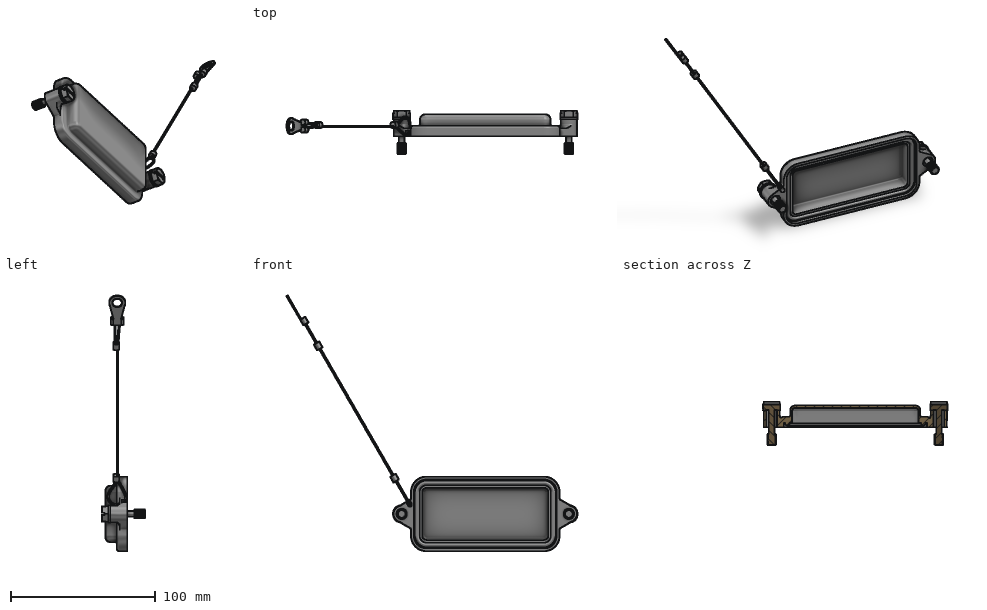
import cadquery as cq
import math


COVER_LENGTH = 102.8
COVER_WIDTH = 51.7
CORNER_RADIUS = 10.9
PLATE_THICKNESS = 7.5
PLATE_EDGE_RADIUS = 1.8
DOME_INSET = 6.2
DOME_TOP = 15.3
DOME_EDGE_RADIUS = 3.8
DOME_FOOT_RADIUS = 0.6

EDGE_MARGIN = 0.2

RECESS_INSET = 2.0
RECESS_DEPTH = 2.8
BEAD_INSET = 4.5
BEAD_RADIUS = 1.6
BEAD_ROOT = 0.6
CAVITY_INSET = 7.8
CAVITY_DEPTH = 13.3
CAVITY_FILLET = 1.91

SCREW_OFFSET = 57.7
BOSS_RADIUS = 5.6
BOSS_TOP = 11.9
BOSS_FOOT_RADIUS = 3.0
EAR_THICKNESS = 5.5
EAR_SLOPE = 30
EAR_CORNER_RADIUS = 1.2
EAR_OVERLAP = 1.0
SCREW_HOLE_DIAMETER = 7.2

HEAD_TOP = 17.7
FLANGE_HEIGHT = 1.5
FLANGE_DIAMETER = 12.0
HEX_ACROSS_FLATS = 10.5
HEX_ACROSS_CORNERS = HEX_ACROSS_FLATS / math.cos(math.radians(30))
HEX_CHAMFER_SLOPE = 30
DRIVER_SLOT_WIDTH = 1.5
DRIVER_SLOT_DEPTH = 1.8
SHANK_DIAMETER = 4.2
THREAD_START = -4.6
THREAD_LENGTH = 7.6
THREAD_TURNS = 8
THREAD_PITCH = THREAD_LENGTH / THREAD_TURNS
THREAD_DIAMETER = 6.2
THREAD_ROOT_DIAMETER = 5.2

CABLE_HOLE_X = -52.1
CABLE_HOLE_Z = 6.5
CABLE_HOLE_DIAMETER = 2.8
CABLE_SLOT_DEPTH = 3.8
LANYARD_ANGLE = 60
CABLE_RADIUS = 0.6
CABLE_Y = 6.8
STRAND_SPACING = 1.8
SLEEVE_DIAMETER = 4.5
SLEEVE_LENGTH = 4.6
LOWER_SLEEVE = 21.1
UPPER_SLEEVE = 126.5
CRIMP = 146.3
CRIMP_DIAMETER = 4
CRIMP_RISE = 0.3
CRIMP_STRAND_SPACING = 3.2
CRIMP_SPACING = 5.2
TERMINAL_Y = 7.0
EYE_POSITION = 161.7
EYE_RADIUS = 5.6
EYE_HOLE_DIAMETER = 6.6
TONGUE_WIDTH = 5.2
TERMINAL_THICKNESS = 1.0
TERMINAL_OFFSET = -1.8


def xz_plane(y):
    """Workplane at height y whose local axes are X and Z and whose extrusions run toward -Y."""
    return cq.Workplane("XZ", origin=(0, y, 0))


def rounded_block(inset, y_start, y_end):
    """Block that follows the cover outline, set in from it by `inset`."""
    block = xz_plane(y_start).rect(COVER_LENGTH - 2 * inset, COVER_WIDTH - 2 * inset)
    block = block.extrude(y_start - y_end)
    return block.edges("|Y").fillet(CORNER_RADIUS - inset)


def ear_block(thickness):
    """Outline of the +X ear: two sloped edges tangent to the boss circle."""
    slope = math.radians(EAR_SLOPE)
    inner_x = COVER_LENGTH / 2 - EAR_OVERLAP
    tangent_x = SCREW_OFFSET + BOSS_RADIUS * math.sin(slope)
    tangent_z = BOSS_RADIUS * math.cos(slope)
    inner_z = tangent_z + (tangent_x - inner_x) * math.tan(slope)
    outline = (
        xz_plane(0)
        .moveTo(inner_x, -inner_z)
        .lineTo(tangent_x, -tangent_z)
        .threePointArc((SCREW_OFFSET + BOSS_RADIUS, 0), (tangent_x, tangent_z))
        .lineTo(inner_x, inner_z)
        .close()
    )
    return outline.extrude(-thickness)


def boss_with_foot():
    """Boss on the +X ear, with a concave fillet at its foot that stays inside the ear outline."""
    boss = xz_plane(0).center(SCREW_OFFSET, 0).circle(BOSS_RADIUS).extrude(-BOSS_TOP)
    foot_top = EAR_THICKNESS + BOSS_FOOT_RADIUS
    foot_edge = BOSS_RADIUS + BOSS_FOOT_RADIUS
    diagonal = BOSS_FOOT_RADIUS * math.sin(math.radians(45))
    foot = (
        cq.Workplane("XY")
        .lineTo(foot_edge, 0)
        .lineTo(foot_edge, EAR_THICKNESS)
        .threePointArc((foot_edge - diagonal, foot_top - diagonal), (BOSS_RADIUS, foot_top))
        .lineTo(0, foot_top)
        .close()
        .revolve(360, (0, 0), (0, 1))
        .translate((SCREW_OFFSET, 0, 0))
    )
    return boss.union(foot.intersect(ear_block(foot_top)))


def sealing_bead():
    """Half-round bead on the recess floor, following the cover outline."""
    path = xz_plane(RECESS_DEPTH).rect(COVER_LENGTH - 2 * BEAD_INSET, COVER_WIDTH - 2 * BEAD_INSET)
    path = path.extrude(BEAD_RADIUS).edges("|Y").fillet(CORNER_RADIUS - BEAD_INSET)
    path = path.faces(">Y").wires().val()
    start = (0, RECESS_DEPTH, COVER_WIDTH / 2 - BEAD_INSET)
    ring = cq.Workplane("YZ", origin=start).circle(BEAD_RADIUS).sweep(cq.Workplane(path))
    return ring.intersect(rounded_block(RECESS_INSET, 0, RECESS_DEPTH + BEAD_ROOT))


def lanyard_plane():
    """Workplane along the lanyard: local X is the part's Y, local Y runs up the lanyard axis."""
    angle = math.radians(LANYARD_ANGLE)
    plane = cq.Plane(
        origin=(CABLE_HOLE_X, 0, CABLE_HOLE_Z),
        xDir=(0, 1, 0),
        normal=(math.sin(angle), 0, math.cos(angle)),
    )
    return cq.Workplane(plane)


def cable_opening():
    """Hole through the left ear, with a slot in the mating face that leads the cable to the ear edge."""
    hole = xz_plane(0).center(CABLE_HOLE_X, CABLE_HOLE_Z).circle(CABLE_HOLE_DIAMETER / 2)
    hole = hole.extrude(-(EAR_THICKNESS + EDGE_MARGIN))
    slot_length = LOWER_SLEEVE / 2
    slot = lanyard_plane().rect(CABLE_SLOT_DEPTH, slot_length, centered=(False, False))
    return hole.union(slot.extrude(CABLE_HOLE_DIAMETER / 2, both=True))


def domed_shell():
    """Plate and dome with rounded edges, hollowed from the mating face and fitted with the bead."""
    plate = rounded_block(0, 0, PLATE_THICKNESS).faces(">Y").edges().fillet(PLATE_EDGE_RADIUS)
    dome = rounded_block(DOME_INSET, 0, DOME_TOP).faces(">Y").edges().fillet(DOME_EDGE_RADIUS)
    dome_reach_x = COVER_LENGTH / 2 - DOME_INSET + EDGE_MARGIN
    dome_reach_z = COVER_WIDTH / 2 - DOME_INSET + EDGE_MARGIN
    dome_foot = cq.selectors.BoxSelector(
        (-dome_reach_x, PLATE_THICKNESS - EDGE_MARGIN, -dome_reach_z),
        (dome_reach_x, PLATE_THICKNESS + EDGE_MARGIN, dome_reach_z),
    )
    shell = plate.union(dome).edges(dome_foot).fillet(DOME_FOOT_RADIUS)
    cavity = rounded_block(CAVITY_INSET, 0, CAVITY_DEPTH).faces(">Y").edges().fillet(CAVITY_FILLET)
    recess = rounded_block(RECESS_INSET, 0, RECESS_DEPTH)
    return shell.cut(cavity).cut(recess).union(sealing_bead())


def on_both_ends(cover, feature):
    """Cover with a feature of the +X end added there and, mirrored, at the -X end."""
    return cover.union(feature).union(feature.mirror("YZ"))


def make_cover():
    cover = on_both_ends(domed_shell(), ear_block(EAR_THICKNESS))
    ear_corners = cq.selectors.BoxSelector(
        (-COVER_LENGTH / 2 - EDGE_MARGIN, 0, -COVER_WIDTH / 2 + CORNER_RADIUS),
        (COVER_LENGTH / 2 + EDGE_MARGIN, EAR_THICKNESS, COVER_WIDTH / 2 - CORNER_RADIUS),
    )
    cover = cover.edges("|Y").edges(ear_corners).fillet(EAR_CORNER_RADIUS)
    cover = on_both_ends(cover, boss_with_foot())
    screw_holes = xz_plane(0).pushPoints([(-SCREW_OFFSET, 0), (SCREW_OFFSET, 0)])
    screw_holes = screw_holes.circle(SCREW_HOLE_DIAMETER / 2).extrude(-BOSS_TOP)
    return cover.cut(screw_holes).cut(cable_opening())


def make_screw(side):
    """Hexagon head screw: head and flange on the boss, slim shank, threaded tip toward -Y."""
    flange_top = BOSS_TOP + FLANGE_HEIGHT
    thread_radius = THREAD_DIAMETER / 2
    root_radius = THREAD_ROOT_DIAMETER / 2
    profile = cq.Workplane("XY").moveTo(0, flange_top).lineTo(FLANGE_DIAMETER / 2, flange_top)
    profile = profile.lineTo(FLANGE_DIAMETER / 2, BOSS_TOP).lineTo(SHANK_DIAMETER / 2, BOSS_TOP)
    profile = profile.lineTo(SHANK_DIAMETER / 2, THREAD_START).lineTo(root_radius, THREAD_START)
    for turn in range(THREAD_TURNS):
        turn_top = THREAD_START - turn * THREAD_PITCH
        profile = profile.lineTo(thread_radius, turn_top - THREAD_PITCH / 2)
        profile = profile.lineTo(root_radius, turn_top - THREAD_PITCH)
    tip = THREAD_START - THREAD_LENGTH
    body = profile.lineTo(0, tip).close().revolve(360, (0, 0), (0, 1))

    head = xz_plane(flange_top).polygon(6, HEX_ACROSS_CORNERS).extrude(flange_top - HEAD_TOP)
    corner_reach = (HEX_ACROSS_CORNERS - HEX_ACROSS_FLATS) / 2
    corner_drop = corner_reach * math.tan(math.radians(HEX_CHAMFER_SLOPE))
    rounding = xz_plane(flange_top).circle(HEX_ACROSS_CORNERS / 2).extrude(flange_top - HEAD_TOP)
    rounding = rounding.faces(">Y").chamfer(corner_drop, corner_reach)
    slot = xz_plane(HEAD_TOP).rect(HEX_ACROSS_CORNERS, DRIVER_SLOT_WIDTH).extrude(DRIVER_SLOT_DEPTH)
    return body.union(head.intersect(rounding)).cut(slot).translate((side * SCREW_OFFSET, 0, 0))


def cable(points):
    """Round cable along a smooth curve; each point is (Y, distance along the lanyard)."""
    path = lanyard_plane().spline(points)
    start = path.val().startPoint()
    section = cq.Plane(origin=start, normal=path.val().tangentAt(0))
    return cq.Workplane(section).circle(CABLE_RADIUS).sweep(path)


def sleeve(y, position, diameter, rise=0):
    """Round sleeve centred at `position` along the lanyard, lifted off its axis by `rise`."""
    axis = lanyard_plane().plane
    base = axis.toWorldCoords((y, position - SLEEVE_LENGTH / 2, rise))
    plane = cq.Plane(origin=base, xDir=axis.xDir, normal=axis.yDir)
    return cq.Workplane(plane).circle(diameter / 2).extrude(SLEEVE_LENGTH)


def ring_terminal():
    """Flat eye whose tapered tongue ends under the crimp barrels."""
    tongue_end = CRIMP - SLEEVE_LENGTH / 2
    half_width = TONGUE_WIDTH / 2
    plane = lanyard_plane().workplane(offset=TERMINAL_OFFSET)
    eye = plane.center(TERMINAL_Y, EYE_POSITION).circle(EYE_RADIUS).extrude(TERMINAL_THICKNESS)
    tongue = plane.polyline([
        (TERMINAL_Y - half_width, tongue_end),
        (TERMINAL_Y + half_width, tongue_end),
        (TERMINAL_Y + half_width, CRIMP + SLEEVE_LENGTH / 2),
        (TERMINAL_Y + EYE_RADIUS, EYE_POSITION),
        (TERMINAL_Y - EYE_RADIUS, EYE_POSITION),
        (TERMINAL_Y - half_width, CRIMP + SLEEVE_LENGTH / 2),
    ]).close().extrude(TERMINAL_THICKNESS)
    hole = plane.center(TERMINAL_Y, EYE_POSITION).circle(EYE_HOLE_DIAMETER / 2)
    return eye.union(tongue).cut(hole.extrude(TERMINAL_THICKNESS))


def make_lanyard():
    """Cable looped through the left ear, its sleeves, and the crimped ring terminal."""
    second_y = CABLE_Y + STRAND_SPACING
    sleeve_y = CABLE_Y + STRAND_SPACING / 2
    loop = cable([
        (CABLE_Y, LOWER_SLEEVE),
        (3.5, 12.7),
        (1.5, 7.0),
        (1.8, 2.0),
        (5.5, 0.0),
        (10.3, 0.6),
        (12.7, 3.5),
        (12.9, 8.9),
        (9.3, 15.5),
        (second_y, LOWER_SLEEVE),
    ])
    lanyard = loop.union(cable([(CABLE_Y, LOWER_SLEEVE), (CABLE_Y, UPPER_SLEEVE)]))
    for position in (LOWER_SLEEVE, UPPER_SLEEVE):
        lanyard = lanyard.union(sleeve(sleeve_y, position, SLEEVE_DIAMETER))
    for side, strand_y in ((-1, CABLE_Y), (1, second_y)):
        strand_end = TERMINAL_Y + side * CRIMP_STRAND_SPACING / 2
        lanyard = lanyard.union(cable([(strand_y, UPPER_SLEEVE), (strand_end, CRIMP)]))
        crimp_y = TERMINAL_Y + side * CRIMP_SPACING / 2
        lanyard = lanyard.union(sleeve(crimp_y, CRIMP, CRIMP_DIAMETER, CRIMP_RISE))
    return lanyard.union(ring_terminal())


cover = make_cover()
screws = [make_screw(side) for side in (-1, 1)]
lanyard = make_lanyard()
result = cq.Compound.makeCompound([cover.val(), *[screw.val() for screw in screws], lanyard.val()])